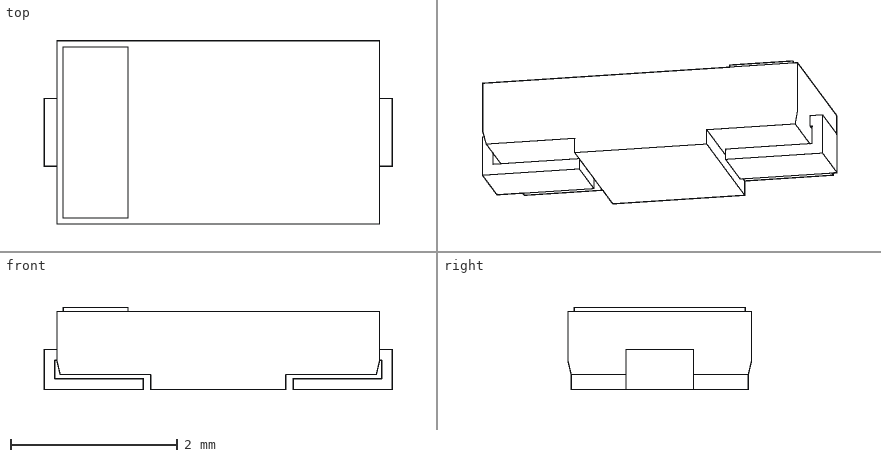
import cadquery as cq

overall_length = 4.19
overall_height = 0.99

housing_length = 3.88
housing_width = 2.21
bevel_inset = 0.038
bevel_height = 0.155
standoff_length = 1.625
standoff_height = 0.18

mark_thickness = 0.05
mark_length = 0.78
mark_margin = 0.075

lead_thickness = 0.13
lead_width = 0.815
lead_height = 0.48
foot_length = 1.195

housing_top = overall_height - mark_thickness
bevel_top = standoff_height + bevel_height
bottom_length = housing_length - 2 * bevel_inset
bottom_width = housing_width - 2 * bevel_inset


def block(length, width, bottom, top):
    """Rectangular block centred on X and Y between two heights."""
    return cq.Workplane("XY").workplane(offset=bottom).rect(length, width).extrude(top - bottom)


def make_housing():
    """Moulded housing: straight upper block, bevelled underside and central standoff."""
    upper = block(housing_length, housing_width, bevel_top, housing_top)
    bevel = (
        cq.Workplane("XY")
        .workplane(offset=standoff_height)
        .rect(bottom_length, bottom_width)
        .workplane(offset=bevel_height)
        .rect(housing_length, housing_width)
        .loft(ruled=True)
    )
    standoff = block(standoff_length, bottom_width, 0, standoff_height)
    return upper.union(bevel).union(standoff)


def make_mark():
    """Thin plate on the top face at the -X end."""
    mark_width = housing_width - 2 * mark_margin
    mark_center_x = -housing_length / 2 + mark_margin + mark_length / 2
    return block(mark_length, mark_width, housing_top, overall_height).translate((mark_center_x, 0, 0))


def make_lead(side):
    """C-shaped lead at the +X (side = 1) or -X (side = -1) end, its top arm touching the housing."""
    outer = overall_length / 2
    inner = outer - lead_thickness
    housing_end = housing_length / 2
    foot_end = outer - foot_length
    profile = [
        (outer, 0),
        (outer, lead_height),
        (housing_end, lead_height),
        (housing_end, lead_height - lead_thickness),
        (inner, lead_height - lead_thickness),
        (inner, lead_thickness),
        (foot_end, lead_thickness),
        (foot_end, 0),
    ]
    points = [(side * x, z) for x, z in profile]
    return cq.Workplane("XZ").polyline(points).close().extrude(lead_width / 2, both=True)


housing = make_housing()
mark = make_mark()
leads = [make_lead(side) for side in (-1, 1)]

result = cq.Compound.makeCompound([housing.val(), mark.val(), *[lead.val() for lead in leads]])